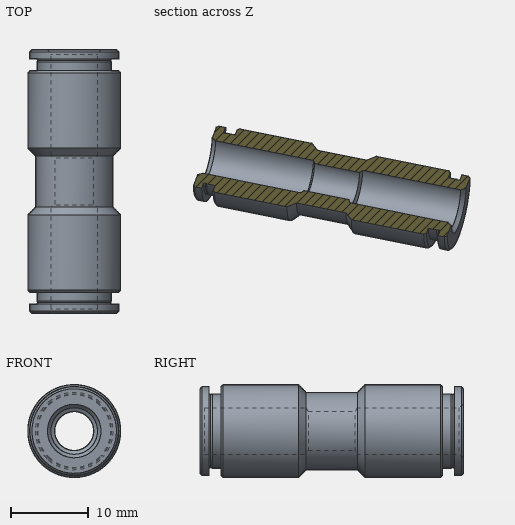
import math

import cadquery as cq

length = 34.01
body_radius = 6.0
body_chamfer = 0.3
body_length = 10.0
waist_radius = 5.0
shoulder_taper = body_radius - waist_radius

flange_radius = 5.75
flange_thickness = 1.2
flange_chamfer = 0.3

collar_radius = 4.8
collar_width = 1.1
groove_width = 0.4
groove_depth = 0.1

passage_radius = 2.5
socket_radius = 3.0
mouth_radius = 3.45
mouth_depth = 0.6
stop_cone_angle = 120.0
stop_taper = (socket_radius - passage_radius) / math.tan(math.radians(stop_cone_angle / 2))

end_y = length / 2
flange_back_y = end_y - flange_thickness
groove_bottom_y = flange_back_y - groove_width / 2
groove_start_y = flange_back_y - groove_width
body_face_y = groove_start_y - collar_width
shoulder_y = body_face_y - body_length
waist_y = shoulder_y - shoulder_taper
socket_floor_y = waist_y


def half_outline():
    """Outer profile of the +Y half as (radius, y), from the waist to the end, then back along the bore."""
    outside = [
        (waist_radius, waist_y),
        (body_radius, shoulder_y),
        (body_radius, body_face_y - body_chamfer),
        (body_radius - body_chamfer, body_face_y),
        (collar_radius, body_face_y),
        (collar_radius, groove_start_y),
        (collar_radius - groove_depth, groove_bottom_y),
        (collar_radius, flange_back_y),
        (flange_radius, flange_back_y),
        (flange_radius, end_y - flange_chamfer),
        (flange_radius - flange_chamfer, end_y),
    ]
    bore = [
        (mouth_radius, end_y),
        (socket_radius, end_y - mouth_depth),
        (socket_radius, socket_floor_y),
        (passage_radius, socket_floor_y - stop_taper),
    ]
    return outside + bore


def mirrored(points):
    """The same outline reflected to the -Y half and run in the opposite order."""
    return [(radius, -y) for radius, y in reversed(points)]


def tube_union():
    """Full radial section turned about the Y axis."""
    half = half_outline()
    section = cq.Workplane("XY").polyline(half + mirrored(half)).close()
    return section.revolve(360, (0, 0, 0), (0, 1, 0))


result = tube_union()